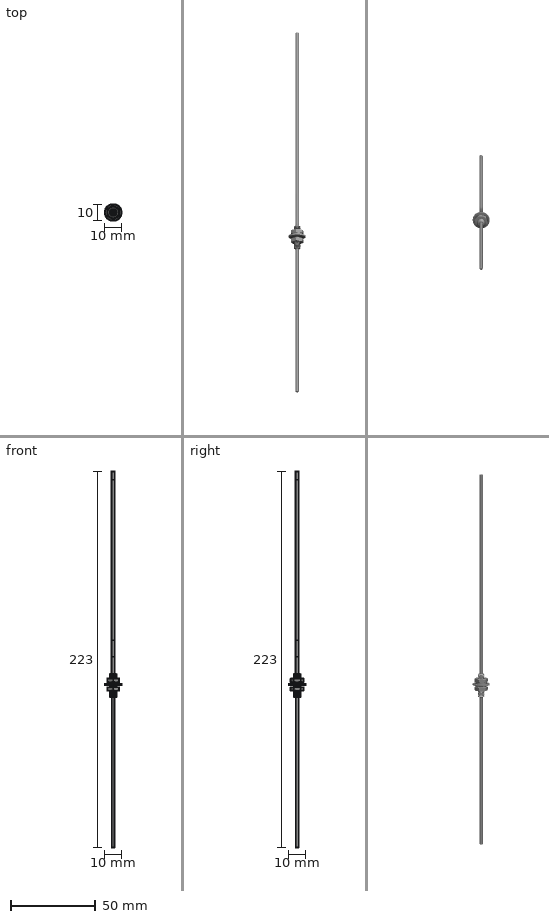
import cadquery as cq
import math

total_length = 222.97
top_z = total_length / 2
bottom_z = -total_length / 2
cable_length = 100.0
sleeve_length = 10.0
neck_length = 10.0
thread_length = 14.0

cable_diameter = 2.1
core_bore_diameter = 1.0
core_bore_depth = 5.0
probe_diameter = 1.9
probe_tip_radius = 0.4
thread_diameter = 4.0
thread_pitch = 0.7
thread_depth = 0.4

nut_side_count = 6
nut_across_flats = 7.0
nut_height = 2.2
nut_chamfer_angle = 30.0
spring_washer_diameter = 6.8
spring_washer_thickness = 1.0
washer_diameter = 10.0
washer_thickness = 0.8
exposed_thread = 2.75
panel_gap = 1.1

sleeve_top = top_z - cable_length
neck_top = sleeve_top - sleeve_length
thread_top = neck_top - neck_length
thread_bottom = thread_top - thread_length

upper_nut_bottom = thread_top - exposed_thread - nut_height
washer_top = upper_nut_bottom - spring_washer_thickness
washer_bottom = washer_top - washer_thickness
lower_nut_bottom = washer_bottom - panel_gap - nut_height


def rod(diameter, bottom, top):
    """Solid cylinder on the Z axis between two heights."""
    return cq.Workplane("XY", origin=(0, 0, bottom)).circle(diameter / 2).extrude(top - bottom)


def ring(diameter, bottom, top):
    """Flat ring that fits over the thread."""
    return rod(diameter, bottom, top).cut(rod(thread_diameter, bottom, top))


def revolved(profile):
    """Full turn about Z of a closed outline given as (radius, height) points."""
    return cq.Workplane("XZ").polyline(profile).close().revolve(360, (0, 0, 0), (0, 1, 0))


def thread():
    """Threaded length as a row of V-shaped ridges, one per pitch."""
    crest = thread_diameter / 2
    root = crest - thread_depth
    ridge_count = round(thread_length / thread_pitch)
    profile = [(0, thread_bottom), (root, thread_bottom)]
    for ridge in range(ridge_count):
        ridge_bottom = thread_bottom + ridge * thread_pitch
        profile.append((crest, ridge_bottom + thread_pitch / 2))
        profile.append((root, ridge_bottom + thread_pitch))
    profile.append((0, thread_top))
    return revolved(profile)


def sensor_head():
    """Neck, thread and round-tipped probe, turned as one piece."""
    neck = rod(cable_diameter, thread_top, neck_top)
    probe = rod(probe_diameter, bottom_z, thread_bottom).faces("<Z").edges().fillet(probe_tip_radius)
    return thread().union(neck).union(probe)


def nut(bottom):
    """Thin hexagon nut with corners on the Y axis, chamfered on both ends."""
    flat_radius = nut_across_flats / 2
    corner_radius = flat_radius / math.cos(math.pi / nut_side_count)
    half_side_angle = 180 / nut_side_count
    chamfer_drop = (corner_radius - flat_radius) * math.tan(math.radians(nut_chamfer_angle))
    top = bottom + nut_height
    hexagon = (
        cq.Workplane("XY", origin=(0, 0, bottom))
        .polygon(nut_side_count, 2 * corner_radius)
        .extrude(nut_height)
        .rotate((0, 0, 0), (0, 0, 1), half_side_angle)
    )
    chamfer_envelope = revolved([
        (0, bottom),
        (flat_radius, bottom),
        (corner_radius, bottom + chamfer_drop),
        (corner_radius, top - chamfer_drop),
        (flat_radius, top),
        (0, top),
    ])
    return hexagon.intersect(chamfer_envelope).cut(rod(thread_diameter, bottom, top))


def cable():
    """Cable with a short bore in its free end."""
    bore = rod(core_bore_diameter, top_z - core_bore_depth, top_z)
    return rod(cable_diameter, sleeve_top, top_z).cut(bore)


cable_body = cable()
sleeve = rod(cable_diameter, neck_top, sleeve_top)
head = sensor_head()
spring_washer = ring(spring_washer_diameter, washer_top, upper_nut_bottom)
washer = ring(washer_diameter, washer_bottom, washer_top)
nuts = [nut(bottom) for bottom in (upper_nut_bottom, lower_nut_bottom)]

result = cq.Compound.makeCompound([
    cable_body.val(),
    sleeve.val(),
    head.val(),
    spring_washer.val(),
    washer.val(),
    *[body.val() for body in nuts],
])